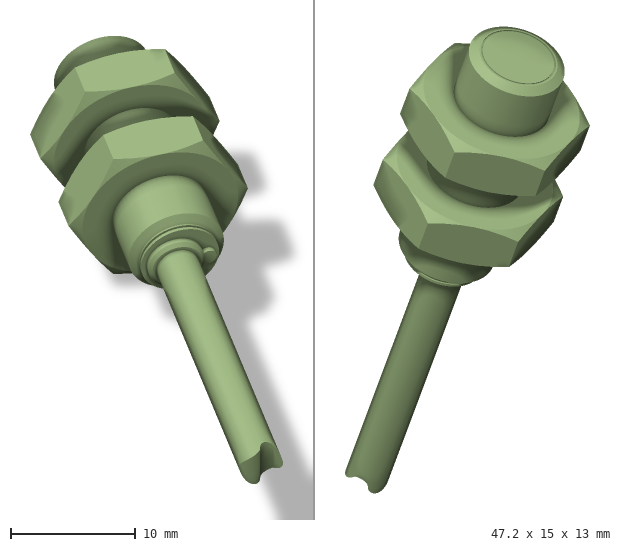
import cadquery as cq
import math

TOTAL_LENGTH = 47.2

BARREL_RADIUS = 8.0 / 2
FRONT_BEVEL = 0.45
BARREL_END = 21.48
COLLAR_RADIUS = 6.5 / 2
REAR_BEVEL_LENGTH = 0.45

FACE_GROOVE_WIDTH = 0.15
FACE_GROOVE_DEPTH = 0.1

COLLAR_END = 22.55
COLLAR_GROOVE_START = 22.1
COLLAR_GROOVE_WIDTH = 0.25
COLLAR_GROOVE_DEPTH = 0.2

CABLE_AXIS_Y = -0.42
GLAND_RADIUS = 4.7 / 2
GLAND_END = 23.25
GLAND_CHAMFER = 0.3
CABLE_RADIUS = 3.5 / 2

LAMP_RADIUS = 1.35 / 2
LAMP_HEIGHT = 0.42
LAMP_Y = 2.25

WAVE_MIDDLE = 46.6
WAVE_HOLLOW = 45.95
HOLLOW_OFFSET = 0.7
TIP_ROOT_X = 46.1
TIP_ROOT_OFFSET = 1.2
WAVE_LOW_EDGE = 46.35
WAVE_HIGH_EDGE = 47.1

NUT_STARTS = (5.0, 13.0)
NUT_WIDTH = 4.0
NUT_ACROSS_FLATS = 13.0
NUT_CHAMFER_ANGLE = 30.0


def disc(start, end, radius):
    """Cylinder along X between two stations."""
    return cq.Workplane("YZ").workplane(offset=start).circle(radius).extrude(end - start)


def ring(start, width, outer_radius, inner_radius):
    """Annular ring along X."""
    profile = cq.Workplane("YZ").workplane(offset=start).circle(outer_radius).circle(inner_radius)
    return profile.extrude(width)


def make_barrel():
    """Barrel and collar turned from one stepped outline."""
    outline = [
        (0, 0),
        (0, COLLAR_RADIUS),
        (FRONT_BEVEL, BARREL_RADIUS),
        (BARREL_END, BARREL_RADIUS),
        (BARREL_END + REAR_BEVEL_LENGTH, COLLAR_RADIUS),
        (COLLAR_END, COLLAR_RADIUS),
        (COLLAR_END, 0),
    ]
    body = cq.Workplane("XY").polyline(outline).close().revolve(360, (0, 0, 0), (1, 0, 0))
    face_groove = ring(0, FACE_GROOVE_DEPTH, COLLAR_RADIUS - FACE_GROOVE_WIDTH,
                       COLLAR_RADIUS - FACE_GROOVE_WIDTH * 2)
    collar_groove = ring(COLLAR_GROOVE_START, COLLAR_GROOVE_WIDTH, COLLAR_RADIUS,
                         COLLAR_RADIUS - COLLAR_GROOVE_DEPTH)
    return body.cut(face_groove).cut(collar_groove)


def make_gland():
    """Round gland behind the collar, chamfered at its rear edge."""
    return disc(COLLAR_END, GLAND_END, GLAND_RADIUS).faces(">X").chamfer(GLAND_CHAMFER)


def make_lamp():
    """Short round lamp standing on the rear face of the collar."""
    return disc(COLLAR_END, COLLAR_END + LAMP_HEIGHT, LAMP_RADIUS).translate((0, LAMP_Y, 0))


def make_cable():
    """Round cable whose end follows an S-shaped curve, the same at every height."""
    half_width = CABLE_RADIUS
    end_shape = (
        cq.Workplane("XY")
        .workplane(offset=-half_width)
        .moveTo(GLAND_END, -half_width)
        .lineTo(WAVE_LOW_EDGE, -half_width)
        .threePointArc((TOTAL_LENGTH, -half_width / 2), (WAVE_MIDDLE, 0))
        .threePointArc((WAVE_HOLLOW, HOLLOW_OFFSET), (TIP_ROOT_X, TIP_ROOT_OFFSET))
        .lineTo(WAVE_HIGH_EDGE, half_width)
        .lineTo(GLAND_END, half_width)
        .close()
        .extrude(2 * half_width)
    )
    return disc(GLAND_END, TOTAL_LENGTH, CABLE_RADIUS).intersect(end_shape)


def make_nut(start):
    """Hexagon nut with corners at +Y and -Y and conical chamfers on both faces."""
    flat_radius = NUT_ACROSS_FLATS / 2
    corner_radius = flat_radius / math.cos(math.radians(30))
    chamfer = (corner_radius - flat_radius) * math.tan(math.radians(NUT_CHAMFER_ANGLE))
    end = start + NUT_WIDTH
    prism = (
        cq.Workplane("YZ").workplane(offset=start).polygon(6, 2 * corner_radius).extrude(NUT_WIDTH)
    )
    cone_outline = [
        (start, 0),
        (start, flat_radius),
        (start + chamfer, corner_radius),
        (end - chamfer, corner_radius),
        (end, flat_radius),
        (end, 0),
    ]
    cones = cq.Workplane("XY").polyline(cone_outline).close().revolve(360, (0, 0, 0), (1, 0, 0))
    return prism.intersect(cones)


cable_and_gland = make_gland().union(make_cable()).translate((0, CABLE_AXIS_Y, 0))
result = make_barrel().union(cable_and_gland).union(make_lamp())
for nut_start in NUT_STARTS:
    result = result.union(make_nut(nut_start))